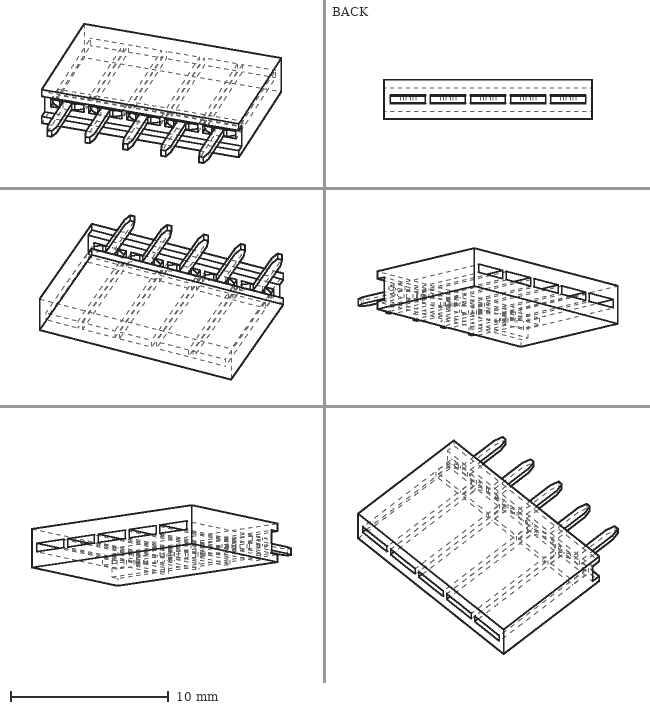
import cadquery as cq
import math

housing_length = 13.2
housing_depth = 8.5
housing_height = 2.5
flange_thickness = 0.5
groove_depth = 0.6

contact_count = 5
row_end_allowance = 0.5
pitch = (housing_length - row_end_allowance) / contact_count
contact_positions = [(i - (contact_count - 1) / 2) * pitch for i in range(contact_count)]

slot_width = 2.22
slot_height = 0.54

contact_thickness = 0.44
pin_width = 0.61
pin_projection = 3.0
tip_width = 0.3
tip_length = 0.6
shoulder_width = 1.0
shoulder_slope = math.radians(2.5)
head_radius = 1.49

groove_floor_y = groove_depth
pin_tip_y = -pin_projection
tip_start_y = pin_tip_y + tip_length
shoulder_outer_y = groove_floor_y + (shoulder_width - pin_width) / 2 * math.tan(shoulder_slope)
head_centre_y = shoulder_outer_y + math.sqrt(head_radius**2 - (shoulder_width / 2) ** 2)
head_back_y = head_centre_y


def box(width, depth, height, x, front_y):
    """Box centred on x and on Z = 0, starting at front_y."""
    return cq.Workplane("XY").box(width, depth, height).translate((x, front_y + depth / 2, 0))


def make_housing():
    housing = box(housing_length, housing_depth, housing_height, 0, 0)

    groove_height = housing_height - 2 * flange_thickness
    housing = housing.cut(box(housing_length, groove_depth, groove_height, 0, 0))

    slot_depth = housing_depth - groove_depth
    for x in contact_positions:
        housing = housing.cut(box(slot_width, slot_depth, slot_height, x, groove_floor_y))
    return housing


def head_arc_point(x):
    """Point on the front of the head's round shoulder at a distance x from the axis."""
    return (x, head_centre_y - math.sqrt(head_radius**2 - x**2))


def make_contact(x):
    half_pin = pin_width / 2
    half_tip = tip_width / 2
    half_shoulder = shoulder_width / 2
    half_head = slot_width / 2
    arc_middle = head_arc_point((half_shoulder + half_head) / 2)
    arc_end = head_arc_point(half_head)

    outline = (
        cq.Workplane("XY")
        .moveTo(0, pin_tip_y)
        .lineTo(half_tip, pin_tip_y)
        .lineTo(half_pin, tip_start_y)
        .lineTo(half_pin, groove_floor_y)
        .lineTo(half_shoulder, shoulder_outer_y)
        .threePointArc(arc_middle, arc_end)
        .lineTo(half_head, head_back_y)
        .lineTo(0, head_back_y)
        .mirrorY()
    )
    return outline.extrude(contact_thickness / 2, both=True).translate((x, 0, 0))


housing = make_housing()
contacts = [make_contact(x) for x in contact_positions]

result = cq.Compound.makeCompound([housing.val(), *[contact.val() for contact in contacts]])